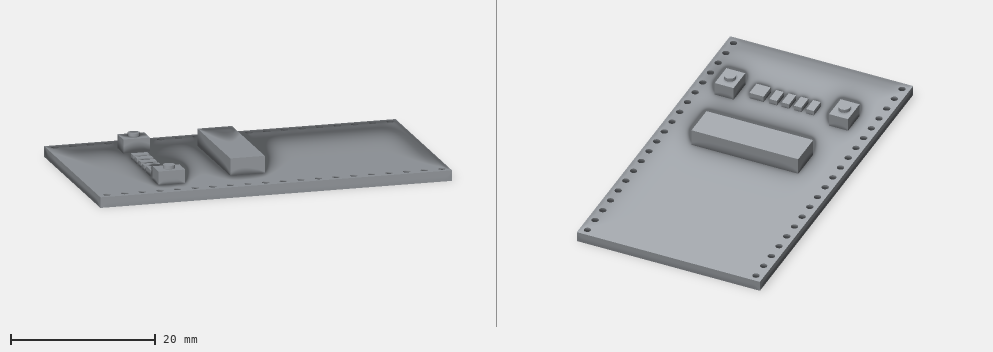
import cadquery as cq

BOARD_WIDTH = 27.9
BOARD_LENGTH = 50.65
BOARD_THICKNESS = 1.5
TOTAL_HEIGHT = 4.0

HOLE_DIAMETER = 1.0
HOLES_PER_ROW = 20
HOLE_EDGE_MARGIN = 1.1
HOLE_ROW_SPACING = BOARD_WIDTH - 2 * HOLE_EDGE_MARGIN
HOLE_ROW_LENGTH = 48.3
HOLE_PITCH = HOLE_ROW_LENGTH / (HOLES_PER_ROW - 1)
HOLE_ROW_CENTER_Y = BOARD_LENGTH / 2 - HOLE_EDGE_MARGIN - HOLE_ROW_LENGTH / 2

DISPLAY_WIDTH = 16.25
DISPLAY_LENGTH = 4.95
DISPLAY_CENTER_Y = -2.45
DISPLAY_HEIGHT = TOTAL_HEIGHT - BOARD_THICKNESS

BUTTON_WIDTH = 2.9
BUTTON_LENGTH = 3.85
BUTTON_SPACING = 17.45
BUTTON_CENTER_Y = -13.95
PLUNGER_DIAMETER = 1.65
PLUNGER_HEIGHT = 0.5
HOUSING_HEIGHT = DISPLAY_HEIGHT - PLUNGER_HEIGHT

CHIP_ROW_CENTER_X = -0.95
CHIP_ROW_CENTER_Y = -14.45
CHIP_COUNT = 4
CHIP_PITCH = 1.85
CHIP_WIDTH = 1.15
CHIP_LENGTH = 2.35
CHIP_HEIGHT = 0.75
TERMINAL_LENGTH = 0.5
CHIP_BODY_LENGTH = CHIP_LENGTH - 2 * TERMINAL_LENGTH

LAMP_CENTER_X = 4.35
LAMP_WIDTH = 2.2
LAMP_LENGTH = 2.4
LAMP_HEIGHT = 0.9


def block_on_board(width, length, height, x, y):
    """Rectangular block centred at (x, y), standing on the board's top face."""
    block = cq.Workplane("XY").box(width, length, height, centered=(True, True, False))
    return block.translate((x, y, BOARD_THICKNESS))


def make_board():
    board = cq.Workplane("XY").box(
        BOARD_WIDTH, BOARD_LENGTH, BOARD_THICKNESS, centered=(True, True, False)
    )
    return (
        board.faces(">Z")
        .workplane(origin=(0, HOLE_ROW_CENTER_Y, BOARD_THICKNESS))
        .rarray(HOLE_ROW_SPACING, HOLE_PITCH, 2, HOLES_PER_ROW)
        .hole(HOLE_DIAMETER)
    )


def make_button(x):
    housing = block_on_board(BUTTON_WIDTH, BUTTON_LENGTH, HOUSING_HEIGHT, x, BUTTON_CENTER_Y)
    plunger_base = cq.Workplane("XY", origin=(x, BUTTON_CENTER_Y, BOARD_THICKNESS + HOUSING_HEIGHT))
    return housing.union(plunger_base.circle(PLUNGER_DIAMETER / 2).extrude(PLUNGER_HEIGHT))


def make_chip(x):
    chip = block_on_board(CHIP_WIDTH, CHIP_BODY_LENGTH, CHIP_HEIGHT, x, CHIP_ROW_CENTER_Y)
    terminal_offset = (CHIP_BODY_LENGTH + TERMINAL_LENGTH) / 2
    for side in (-1, 1):
        y = CHIP_ROW_CENTER_Y + side * terminal_offset
        terminal = block_on_board(CHIP_WIDTH, TERMINAL_LENGTH, CHIP_HEIGHT, x, y)
        chip = chip.union(terminal, clean=False)
    return chip


display = block_on_board(DISPLAY_WIDTH, DISPLAY_LENGTH, DISPLAY_HEIGHT, 0, DISPLAY_CENTER_Y)
lamp = block_on_board(LAMP_WIDTH, LAMP_LENGTH, LAMP_HEIGHT, LAMP_CENTER_X, CHIP_ROW_CENTER_Y)
result = make_board().union(display).union(lamp)

for side in (-1, 1):
    result = result.union(make_button(side * BUTTON_SPACING / 2))

for index in range(CHIP_COUNT):
    steps_from_middle = index - (CHIP_COUNT - 1) / 2
    chip = make_chip(CHIP_ROW_CENTER_X + steps_from_middle * CHIP_PITCH)
    result = result.union(chip, clean=False)